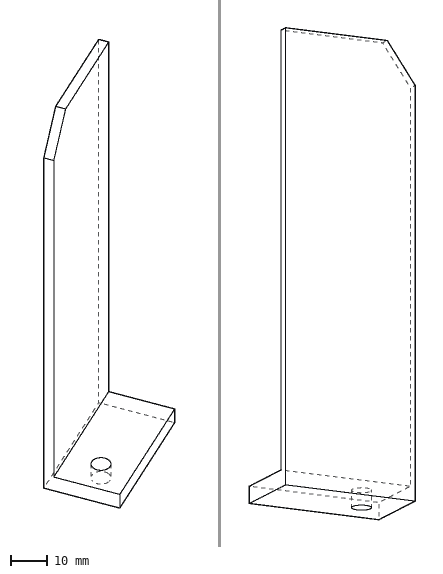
import cadquery as cq

length_x = 22.8
width_y = 40.1
height_z = 131.0

wall_thickness = 3.0
foot_thickness = 5.0

corner_cut_y = 8.6
corner_cut_z = 11.9

hole_diameter = 5.5
hole_x = 13.0
hole_y = 10.2


def make_wall():
    """Upright plate with its upper front corner cut off."""
    return (
        cq.Workplane("YZ")
        .moveTo(0, 0)
        .lineTo(width_y, 0)
        .lineTo(width_y, height_z)
        .lineTo(corner_cut_y, height_z)
        .lineTo(0, height_z - corner_cut_z)
        .close()
        .extrude(wall_thickness)
    )


def make_foot():
    """Flat foot with one through hole."""
    foot = cq.Workplane("XY").box(length_x, width_y, foot_thickness, centered=False)
    hole = cq.Workplane("XY").center(hole_x, hole_y).circle(hole_diameter / 2).extrude(foot_thickness)
    return foot.cut(hole)


result = make_wall().union(make_foot())